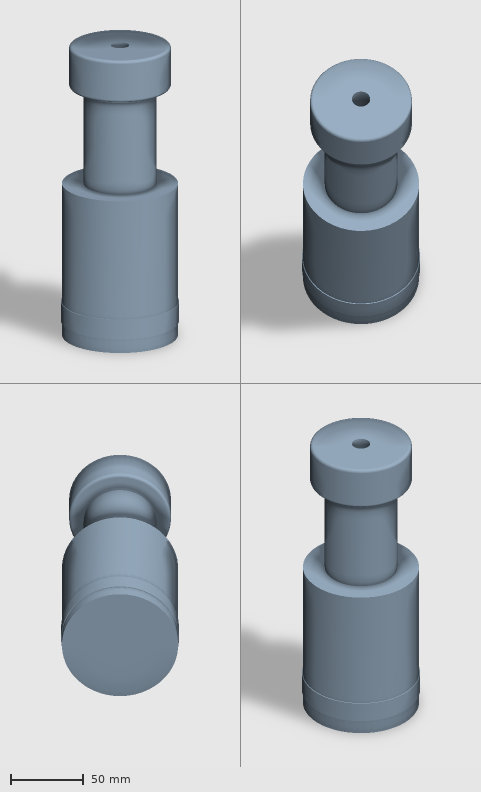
import cadquery as cq
import math

total_height = 210.0
base_height = 110.0

band_diameter = 81.3
band_step = 0.6
base_radius = band_diameter / 2 - band_step
band_bottom = 10.0
band_height = 14.3

shaft_radius = 25.0
neck_radius = 23.5
neck_fillet = 1.9
shaft_chamfer = shaft_radius - neck_radius
head_radius = 35.0
head_height = 30.2
head_edge_radius = 2.0

hole_diameter = 12.5
hole_depth = 21.0
drill_point_angle = 118.0


def cylinder(radius, bottom, height):
    return cq.Workplane("XY").workplane(offset=bottom).circle(radius).extrude(height)


def make_base():
    """Cylinder with a slightly raised band near its foot."""
    body = cylinder(base_radius, 0, base_height)
    band = cylinder(band_diameter / 2, band_bottom, band_height)
    return body.union(band)


def make_drill_hole():
    """Cutter with a cylindrical wall and a conical drill point."""
    radius = hole_diameter / 2
    wall_bottom = total_height - hole_depth
    point_depth = radius / math.tan(math.radians(drill_point_angle / 2))
    profile = (
        cq.Workplane("XZ")
        .moveTo(0, total_height)
        .lineTo(radius, total_height)
        .lineTo(radius, wall_bottom)
        .lineTo(0, wall_bottom - point_depth)
        .close()
    )
    return profile.revolve(360, (0, 0, 0), (0, 1, 0))


def make_shaft(head_bottom):
    """Shaft chamfered to a narrow waist, which flares into the head through a concave fillet."""
    waist_height = head_bottom - neck_fillet
    flare_radius = neck_radius + neck_fillet
    diagonal = neck_fillet * math.sqrt(0.5)
    flare_middle = (flare_radius - diagonal, waist_height + diagonal)
    profile = (
        cq.Workplane("XZ")
        .moveTo(0, base_height)
        .lineTo(shaft_radius, base_height)
        .lineTo(shaft_radius, waist_height - shaft_chamfer)
        .lineTo(neck_radius, waist_height)
        .threePointArc(flare_middle, (flare_radius, head_bottom))
        .lineTo(0, head_bottom)
        .close()
    )
    return profile.revolve(360, (0, 0, 0), (0, 1, 0))


def make_rod():
    """Shaft and rounded head with a central blind hole."""
    head_bottom = total_height - head_height
    head = cylinder(head_radius, head_bottom, head_height)
    head = head.edges("%CIRCLE").fillet(head_edge_radius)
    return make_shaft(head_bottom).union(head).cut(make_drill_hole())


base = make_base()
rod = make_rod()

result = cq.Compound.makeCompound([base.val(), rod.val()])